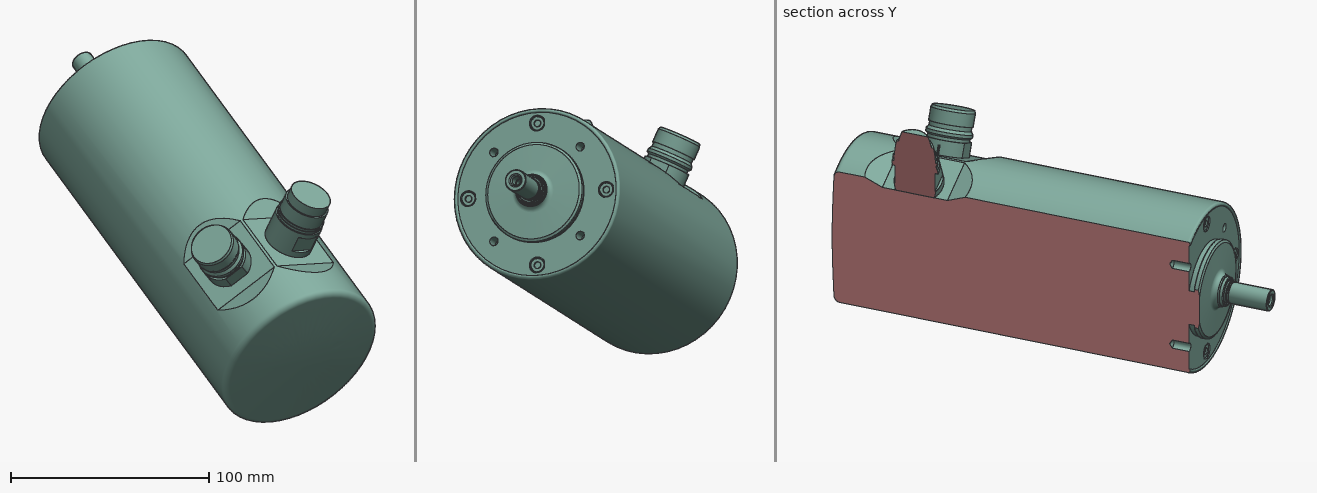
import cadquery as cq
import math

overall_length = 231
body_diameter = 88.0
body_radius = body_diameter / 2

shaft_diameter = 11.0
shaft_chamfer = 0.35
groove_diameter = 10.5
groove_start = 21.0
groove_end = 22.6
groove_wall_slope = 0.5
bore_mouth_diameter = 7
bore_countersink_diameter = 5.5
bore_thread_diameter = 4.5
bore_core_diameter = 3.5
mouth_cone_slope = 30
countersink_cone_slope = 60
bore_thread_depth = 7
bore_depth = 11.5

collar_diameter = 15.0
collar_start = 23
collar_chamfer = 0.5
collar_recess_diameter = 13.0
collar_recess_depth = 1.0
seal_start = 25.2
seal_inner_diameter = 16.0
seal_outer_diameter = 16.6
seal_end = 25.9
flare_diameter = 21.7
flare_end = 28.6
flare_sag_ratio = 0.3

boss_diameter = 51.0
boss_face_diameter = 48.5
boss_face = 29.3
boss_rim_start = 30
boss_rim_end = 32.3
undercut_diameter = 50.0

lip_front = 34.5
lip_outer_fillet = 1.5
lip_inner_fillet = 0.7
body_front = lip_front + lip_inner_fillet

rear_fillet = 3.2
dome_height = 1.5
body_rear = overall_length - dome_height

drill_point_ratio = 0.6

screw_circle_radius = 36.5
counterbore_diameter = 8.0
counterbore_depth = 1.8
screw_head_diameter = 7
screw_head_height = 1.5
screw_socket_diameter = 3.5
screw_socket_depth = 1.0
tapped_circle_radius = 32.3
tapped_hole_diameter = 4.5
tapped_hole_depth = 9.2
tapped_first_angle = 45
holes_per_circle = 4

connector_x = 185.0
connector_tilt = 25
seat_flat_height = 40.2
seat_flat_length = 35.5
seat_ramp_angle = 20
cutter_clearance = 2.3

tall_base_diameter = 25.2
tall_base_top = 55.2
tall_groove_diameter = 23.5
tall_groove_top = 56.8
tall_ring_diameter = 24.5
tall_ring_top = 58.2
tall_sleeve_diameter = 23
tall_sleeve_top = 65.8
tall_cap_diameter = 21.3
tall_top = 71.1
tall_flat_bottom = 43.7
tall_flat_top = 52.7
tall_flat_spacing = 22.2

short_base_diameter = 24.0
short_base_top = 47.8
short_neck_diameter = 21.7
short_neck_top = 49.5
short_ring_diameter = 24.0
short_ring_bottom = 50.4
short_ring_middle = 52.0
short_ring_top = 53.5
short_sleeve_bottom = 56.0
short_sleeve_diameter = 22.9
short_sleeve_top = 62.8
short_cap_diameter = 21.7
short_top = 64.2
short_flat_spacing = 21.7
short_slot_width = 1.0
short_slot_depth = 1.0
short_slot_top = 45.0


def make_body_of_revolution():
    """Shaft, collar, boss and body turned about the X axis."""
    lip_crest_radius = body_radius - lip_outer_fillet
    dome_radius = body_radius - rear_fillet
    arc_offset = rear_fillet * (1 - math.sqrt(0.5))
    dome_sphere_radius = (dome_radius**2 + dome_height**2) / (2 * dome_height)
    dome_mid_radius = dome_radius / 2
    dome_center_x = overall_length - dome_sphere_radius
    dome_mid_x = dome_center_x + math.sqrt(dome_sphere_radius**2 - dome_mid_radius**2)
    flare_width = flare_end - seal_end
    flare_rise = (flare_diameter - seal_outer_diameter) / 2
    flare_mid_x = seal_end + (1 - flare_sag_ratio) * flare_width
    flare_mid_radius = seal_outer_diameter / 2 + flare_sag_ratio * flare_rise
    profile = (
        cq.Workplane("XY")
        .moveTo(0, 0)
        .lineTo(0, shaft_diameter / 2 - shaft_chamfer)
        .lineTo(shaft_chamfer, shaft_diameter / 2)
        .lineTo(groove_start, shaft_diameter / 2)
        .lineTo(groove_start + groove_wall_slope, groove_diameter / 2)
        .lineTo(groove_end - groove_wall_slope, groove_diameter / 2)
        .lineTo(groove_end, shaft_diameter / 2)
        .lineTo(collar_start + collar_recess_depth, shaft_diameter / 2)
        .lineTo(collar_start + collar_recess_depth, collar_recess_diameter / 2)
        .lineTo(collar_start, collar_recess_diameter / 2)
        .lineTo(collar_start, collar_diameter / 2 - collar_chamfer)
        .lineTo(collar_start + collar_chamfer, collar_diameter / 2)
        .lineTo(seal_start, collar_diameter / 2)
        .lineTo(seal_start, seal_inner_diameter / 2)
        .lineTo(seal_end, seal_outer_diameter / 2)
        .threePointArc((flare_mid_x, flare_mid_radius), (flare_end, flare_diameter / 2))
        .lineTo(boss_face, boss_face_diameter / 2)
        .lineTo(boss_rim_start, boss_diameter / 2)
        .lineTo(boss_rim_end, boss_diameter / 2)
        .lineTo(boss_rim_end, undercut_diameter / 2)
        .lineTo(body_front, undercut_diameter / 2)
        .lineTo(body_front, lip_crest_radius - lip_inner_fillet)
        .radiusArc((lip_front, lip_crest_radius), lip_inner_fillet)
        .radiusArc((lip_front + lip_outer_fillet, body_radius), lip_outer_fillet)
        .lineTo(body_rear - rear_fillet, body_radius)
        .threePointArc((body_rear - arc_offset, body_radius - arc_offset), (body_rear, dome_radius))
        .threePointArc((dome_mid_x, dome_mid_radius), (overall_length, 0))
        .close()
    )
    return profile.revolve(360, (0, 0, 0), (1, 0, 0))


def front_cylinders(circle_radius, first_angle, diameter, start, depth):
    """Ring of equal cylinders that run along +X from the plane X = start."""
    return (
        cq.Workplane("YZ", origin=(start, 0, 0))
        .polarArray(circle_radius, first_angle, 360, holes_per_circle)
        .circle(diameter / 2)
        .extrude(depth)
    )


def add_front_holes(motor):
    """Four sunk socket screws and four tapped holes in the front face."""
    head_front = body_front + counterbore_depth - screw_head_height
    counterbores = front_cylinders(screw_circle_radius, 0, counterbore_diameter, body_front, counterbore_depth)
    heads = front_cylinders(screw_circle_radius, 0, screw_head_diameter, head_front, screw_head_height)
    sockets = front_cylinders(screw_circle_radius, 0, screw_socket_diameter, head_front, screw_socket_depth)
    tapped = front_cylinders(
        tapped_circle_radius, tapped_first_angle, tapped_hole_diameter, body_front, tapped_hole_depth
    )
    return motor.cut(counterbores).union(heads).cut(sockets).cut(tapped).cut(make_drill_points())


def make_drill_points():
    """Conical bottoms of the tapped holes."""
    hole_radius = tapped_hole_diameter / 2
    points = []
    for index in range(holes_per_circle):
        angle = math.radians(tapped_first_angle + index * 360 / holes_per_circle)
        bottom_center = cq.Vector(
            body_front + tapped_hole_depth,
            tapped_circle_radius * math.cos(angle),
            tapped_circle_radius * math.sin(angle),
        )
        cone = cq.Solid.makeCone(
            hole_radius, 0, hole_radius * drill_point_ratio, bottom_center, cq.Vector(1, 0, 0)
        )
        points.append(cone)
    return cq.Compound.makeCompound(points)


def cut_shaft_bore(motor):
    """Blind threaded center hole in the shaft tip: two cones, thread, core and drill point."""
    mouth_radius = bore_mouth_diameter / 2
    countersink_radius = bore_countersink_diameter / 2
    thread_radius = bore_thread_diameter / 2
    core_radius = bore_core_diameter / 2
    mouth_depth = (mouth_radius - countersink_radius) * math.tan(math.radians(mouth_cone_slope))
    countersink_depth = (countersink_radius - thread_radius) * math.tan(math.radians(countersink_cone_slope))
    thread_start = mouth_depth + countersink_depth
    bore = (
        cq.Workplane("XY")
        .polyline(
            [
                (0, 0),
                (0, mouth_radius),
                (mouth_depth, countersink_radius),
                (thread_start, thread_radius),
                (bore_thread_depth, thread_radius),
                (bore_thread_depth, core_radius),
                (bore_depth, core_radius),
                (bore_depth + core_radius * drill_point_ratio, 0),
            ]
        )
        .close()
        .revolve(360, (0, 0, 0), (1, 0, 0))
    )
    return motor.cut(bore)


def place_connector_shape(shape, side):
    """Tilt a shape built on the Z axis toward side * Y and move it to the connector station."""
    return shape.rotate((0, 0, 0), (1, 0, 0), -side * connector_tilt).translate((connector_x, 0, 0))


def make_seat_cutter():
    """Flat-bottomed cut with ramps at both ends, wide enough to cross the body."""
    cutter_height = body_radius - seat_flat_height + cutter_clearance
    half_flat = seat_flat_length / 2
    half_top = half_flat + cutter_height / math.tan(math.radians(seat_ramp_angle))
    cutter_top = seat_flat_height + cutter_height
    return (
        cq.Workplane("XZ")
        .polyline(
            [
                (-half_flat, seat_flat_height),
                (half_flat, seat_flat_height),
                (half_top, cutter_top),
                (-half_top, cutter_top),
            ]
        )
        .close()
        .extrude(body_radius / 2, both=True)
    )


def make_motor():
    motor = make_body_of_revolution()
    motor = cut_shaft_bore(motor)
    motor = add_front_holes(motor)
    for side in (1, -1):
        motor = motor.cut(place_connector_shape(make_seat_cutter(), side))
    return motor


def turn_about_z(outline):
    """Revolve (diameter, height) corners about the Z axis, closing the outline along the axis."""
    bottom = outline[0][1]
    top = outline[-1][1]
    corners = [(diameter / 2, height) for diameter, height in outline]
    return (
        cq.Workplane("XZ")
        .polyline([(0, bottom), *corners, (0, top)])
        .close()
        .revolve(360, (0, 0, 0), (0, 1, 0))
    )


def cut_wrench_flats(connector, diameter, spacing, bottom, top):
    """Two flats, spacing apart along X, between two heights."""
    height = top - bottom
    middle = (0, 0, (bottom + top) / 2)
    outside = cq.Workplane("XY").box(2 * diameter, 2 * diameter, height).translate(middle)
    between = cq.Workplane("XY").box(spacing, 2 * diameter, height).translate(middle)
    return connector.cut(outside.cut(between))


def make_tall_connector():
    connector = turn_about_z(
        [
            (tall_base_diameter, seat_flat_height),
            (tall_base_diameter, tall_base_top),
            (tall_groove_diameter, tall_base_top),
            (tall_groove_diameter, tall_groove_top),
            (tall_ring_diameter, tall_groove_top),
            (tall_ring_diameter, tall_ring_top),
            (tall_sleeve_diameter, tall_ring_top),
            (tall_sleeve_diameter, tall_sleeve_top),
            (tall_cap_diameter, tall_sleeve_top),
            (tall_cap_diameter, tall_top),
        ]
    )
    connector = cut_wrench_flats(
        connector, tall_base_diameter, tall_flat_spacing, tall_flat_bottom, tall_flat_top
    )
    return place_connector_shape(connector, 1)


def make_short_connector():
    connector = turn_about_z(
        [
            (short_base_diameter, seat_flat_height),
            (short_base_diameter, short_base_top),
            (short_neck_diameter, short_base_top),
            (short_neck_diameter, short_neck_top),
            (short_ring_diameter, short_ring_bottom),
            (short_ring_diameter, short_ring_middle),
            (short_neck_diameter, short_ring_top),
            (short_neck_diameter, short_sleeve_bottom),
            (short_sleeve_diameter, short_sleeve_bottom),
            (short_sleeve_diameter, short_sleeve_top),
            (short_cap_diameter, short_top),
        ]
    )
    connector = cut_wrench_flats(
        connector, short_base_diameter, short_flat_spacing, seat_flat_height, short_base_top
    )
    slot_height = short_slot_top - seat_flat_height
    slot_cutter = (
        cq.Workplane("XY", origin=(0, short_base_diameter / 2, seat_flat_height))
        .rect(short_slot_width, 2 * short_slot_depth)
        .extrude(slot_height)
    )
    return place_connector_shape(connector.cut(slot_cutter), -1)


motor = make_motor()
tall_connector = make_tall_connector()
short_connector = make_short_connector()

result = cq.Compound.makeCompound([motor.val(), tall_connector.val(), short_connector.val()])